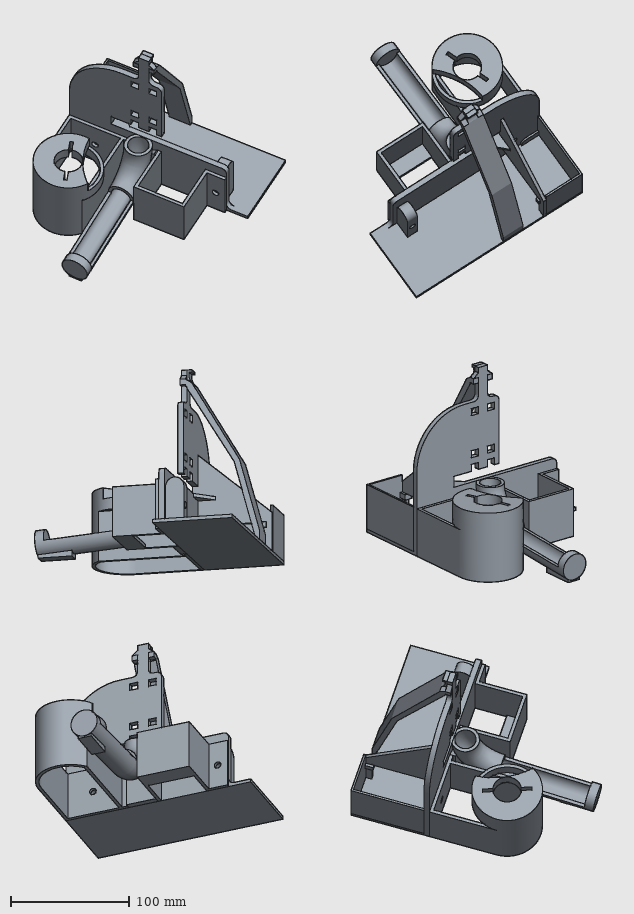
import cadquery as cq
import math


WIDTH = 170.0
LENGTH = 197.2
HEIGHT = 156.0
DEPTH = 69.5
FRONT = DEPTH - LENGTH
PLATE = 5.0
WALL = 3.0
CORNER_R = 5.0
BOX_H = 43.4
RAIL_Z = 53.2
RAIL_END = 149.6
AXIS_X = 70.8

PANEL_Z = 63.0
PANEL_TOP = 126.0
PANEL_RIGHT = 88.0
PANEL_R = 49.9
NECK_W = 9.9
SHOULDER_Z = 146.9
FLARE_TOP = 151.2
WINDOW_REACH = 12.2
WINDOW_H = 6.3
WINDOW_Z = (114.0, 75.5, PANEL_Z)
GUSSET_X = 36.9
GUSSET_TOP = 90.3
GUSSET_BACK_TOP = 36.5
GUSSET_BOTTOM = 28.2
LEG_Y = 62.5
SHELF = 15.2
SCREW_D = 6.0
SCREW_Z = 21.3
SCREW_X = 140.8
LUG_W = 10.0
LUG_D = 16.0
LUG_AXIS_Z = 37.0

TRAY_WALL = 1.8
LIP_H = 7.9
LIP_END = 19.3
LIP_R = 6.0
CLIP_H = 5.0
CLIP_WALL = 1.8
CLIP_SIDE = 2.4
CLIP_HOOK = 4.1

BIN_W = 53.0
CUP_D = 60.0
CUP_BORE = 54.0
CUP_Y = -59.5
CUP_TOP = 63.0
LID_HOLE = 24.0
LID_SLOT = 42.0
LID_SLOT_ANGLE = 110
LID_CUT = ((34.5, -30.2), (41.2, -54.6), (55.6, -73.7))
BIN_HOLE_X = 26.0
BOX_X = 84.8
BOX_W = 48.0
BOX_Y = -45.1
BOX_LEDGE = 14.0

BRACE_W = 20.1
BRACE_BEND_OUT = (52.2, 73.7)
BRACE_BEND_IN = (47.5, 72.0)
BRACE_FOOT_Z = 11.5
BRACE_FOOT_Y = 66.6
BRACE_TOP_OUT = (9.9, 144.1)
TAB_BOTTOM = 142.0
TAB_HEEL_Z = 140.8
LATCH_WAIST = 6.5
LATCH_LIP = 9.0
LATCH_LIP_Z = 153.8
LATCH_WAIST_Z = 151.0

TUBE_D = 24.0
TUBE_BORE = 18.0
TUBE_Y = -9.9
BEND_R = 34.1
FALL = 4.0
DISC_T = 7.9
MOUNT_W = 25.6
MOUNT_T = 5.1
MOUNT_V = 8.7
FOOT_W = 12.0
FOOT_BACK = -95.6
FOOT_FRONT = -125.4


def block(x0, x1, y0, y1, z0, z1):
    """Box between two opposite corners."""
    return cq.Workplane().box(x1 - x0, y1 - y0, z1 - z0, centered=False).translate((x0, y0, z0))


def side_profile(points, x, width):
    """Solid from a (y, z) outline, starting at x and growing towards +X."""
    return cq.Workplane("YZ", origin=(x, 0, 0)).polyline(points).close().extrude(width)


def screw_hole(x):
    """Cutter along Y through the plate and what is fixed to it."""
    reach = PLATE + LUG_D
    return cq.Workplane("XZ", origin=(x, reach, SCREW_Z)).circle(SCREW_D / 2).extrude(reach + 2 * WALL)


def make_panel():
    """Quarter-round panel with windows and the flared neck; its right edge is open below."""
    neck_left = AXIS_X - NECK_W / 2
    neck_right = AXIS_X + NECK_W / 2
    flare = BRACE_W / 2
    diag = math.sqrt(0.5)
    panel = (
        cq.Workplane("XZ", origin=(0, PLATE, 0))
        .moveTo(0, 0)
        .lineTo(0, PANEL_TOP - PANEL_R)
        .threePointArc((PANEL_R * (1 - diag), PANEL_TOP - PANEL_R * (1 - diag)), (PANEL_R, PANEL_TOP))
        .lineTo(neck_left - CORNER_R, PANEL_TOP)
        .radiusArc((neck_left, PANEL_TOP + CORNER_R), -CORNER_R)
        .lineTo(neck_left, SHOULDER_Z)
        .lineTo(AXIS_X - flare, SHOULDER_Z)
        .lineTo(neck_left, FLARE_TOP)
        .lineTo(neck_left, HEIGHT)
        .lineTo(neck_right, HEIGHT)
        .lineTo(neck_right, FLARE_TOP)
        .lineTo(AXIS_X + flare, SHOULDER_Z)
        .lineTo(neck_right, SHOULDER_Z)
        .lineTo(neck_right, PANEL_TOP + CORNER_R)
        .radiusArc((neck_right + CORNER_R, PANEL_TOP), -CORNER_R)
        .lineTo(PANEL_RIGHT - CORNER_R, PANEL_TOP)
        .radiusArc((PANEL_RIGHT, PANEL_TOP - CORNER_R), CORNER_R)
        .lineTo(PANEL_RIGHT, PANEL_Z)
        .lineTo(GUSSET_X + WALL, PANEL_Z)
        .lineTo(GUSSET_X + WALL, 0)
        .close()
        .extrude(PLATE)
    )
    for z in WINDOW_Z:
        for inner, outer in ((neck_left, AXIS_X - WINDOW_REACH), (neck_right, AXIS_X + WINDOW_REACH)):
            panel = panel.cut(block(min(inner, outer), max(inner, outer), 0, PLATE, z, z + WINDOW_H))
    return panel


def make_rail():
    """Low part of the upright plate, blended into the floor at its right end."""
    return (
        cq.Workplane("XZ", origin=(0, PLATE, 0))
        .lineTo(0, RAIL_Z)
        .lineTo(RAIL_END - CORNER_R, RAIL_Z)
        .radiusArc((RAIL_END, RAIL_Z - CORNER_R), CORNER_R)
        .lineTo(RAIL_END, WALL + CORNER_R)
        .radiusArc((RAIL_END + CORNER_R, WALL), -CORNER_R)
        .lineTo(RAIL_END + CORNER_R, 0)
        .close()
        .extrude(PLATE)
    )


def make_gusset():
    """Sloped side web standing on a rear leg, with a triangular shelf beside the slot."""
    web = side_profile(
        [
            (PLATE, GUSSET_BOTTOM),
            (PLATE, GUSSET_TOP),
            (DEPTH, GUSSET_BACK_TOP),
            (DEPTH, WALL),
            (LEG_Y, WALL),
            (LEG_Y, GUSSET_BOTTOM),
        ],
        GUSSET_X,
        WALL,
    )
    right = GUSSET_X + WALL
    shelf = (
        cq.Workplane(origin=(0, 0, RAIL_Z - WALL))
        .polyline([(right, PLATE), (right + SHELF, PLATE), (right, PLATE + SHELF)])
        .close()
        .extrude(WALL)
    )
    return web.union(shelf)


def make_lug():
    """Round-topped lug behind the screw hole."""
    x0 = SCREW_X - LUG_W / 2
    post = block(x0, x0 + LUG_W, PLATE, PLATE + LUG_D, WALL, LUG_AXIS_Z)
    top = cq.Workplane("YZ", origin=(x0, PLATE + LUG_D / 2, LUG_AXIS_Z)).circle(LUG_D / 2).extrude(LUG_W)
    return post.union(top)


def make_base():
    """Floor and upright plate with everything that stands on them."""
    base = block(0, WIDTH, 0, DEPTH, 0, WALL)
    for piece in (make_rail(), make_panel(), make_gusset(), make_lug()):
        base = base.union(piece)
    return base.cut(screw_hole(SCREW_X)).cut(screw_hole(BIN_HOLE_X))


def make_tray():
    """Side and back wall on the floor, with a low front lip and a clip around the gusset leg."""
    inner_back = DEPTH - TRAY_WALL
    side = block(0, TRAY_WALL, PLATE, DEPTH, WALL, BOX_H)
    back = block(0, GUSSET_X, inner_back, DEPTH, WALL, BOX_H)
    lip = block(0, LIP_END, PLATE, PLATE + TRAY_WALL, WALL, WALL + LIP_H)
    lip = lip.edges("|Y and >X and >Z").fillet(LIP_R)

    leg_right = GUSSET_X + WALL
    clip_left = GUSSET_X - CLIP_SIDE
    clip_right = leg_right + CLIP_WALL
    clip_front = LEG_Y - CLIP_WALL
    z1 = GUSSET_BOTTOM
    z0 = z1 - CLIP_H
    clip = block(clip_left, GUSSET_X, clip_front, inner_back, z0, z1)
    clip = clip.union(block(clip_left, clip_right, clip_front, LEG_Y, z0, z1))
    clip = clip.union(block(leg_right, clip_right, clip_front, clip_front + CLIP_HOOK, z0, z1))
    return side.union(back).union(lip).union(clip)


def make_cup_bin():
    """Left bin with the lidded cup at its front."""
    radius = CUP_D / 2

    def disc(diameter, z0, z1):
        return cq.Workplane(origin=(radius, CUP_Y, z0)).circle(diameter / 2).extrude(z1 - z0)

    overhang = block(BIN_W, CUP_D, CUP_Y - radius, CUP_Y + radius, 0, BOX_H)
    cup = disc(CUP_D, 0, CUP_TOP).cut(disc(CUP_BORE, 0, RAIL_Z)).cut(overhang)

    start, middle, end = LID_CUT
    opening = (
        cq.Workplane(origin=(0, 0, RAIL_Z))
        .moveTo(*start)
        .threePointArc(middle, end)
        .lineTo(CUP_D, end[1])
        .lineTo(CUP_D, start[1] + WALL)
        .lineTo(start[0], start[1] + WALL)
        .close()
        .extrude(CUP_TOP - RAIL_Z)
    )
    slot = (
        cq.Workplane(origin=(radius, CUP_Y, RAIL_Z))
        .transformed(rotate=(0, 0, LID_SLOT_ANGLE))
        .rect(LID_SLOT, WALL)
        .extrude(CUP_TOP - RAIL_Z)
    )
    passage = block(WALL, BIN_W - WALL, CUP_Y, -WALL, 0, BOX_H)
    cup = cup.cut(passage).cut(opening).cut(slot).cut(disc(LID_HOLE, RAIL_Z, CUP_TOP))

    flange = block(0, AXIS_X - MOUNT_W / 2, -WALL, 0, 0, BOX_H)
    left = block(0, WALL, CUP_Y, 0, 0, BOX_H).cut(disc(CUP_BORE, 0, BOX_H))
    right_chord = math.sqrt(radius**2 - (BIN_W - radius) ** 2)
    right = block(BIN_W - WALL, BIN_W, CUP_Y - right_chord, 0, 0, BOX_H)
    return cup.union(flange).union(left).union(right).cut(screw_hole(BIN_HOLE_X))


def make_box():
    """Right box, open to the plate, with a ledge along its front and a screw flange."""
    right = BOX_X + BOX_W
    box = block(BOX_X, right, BOX_Y, 0, 0, BOX_H)
    box = box.cut(block(BOX_X + WALL, right - WALL, BOX_Y + WALL, 0, 0, BOX_H))
    box = box.union(block(BOX_X + WALL, right - WALL, BOX_Y + WALL, BOX_Y + WALL + BOX_LEDGE, 0, WALL))
    box = box.union(block(right, RAIL_END, -WALL, 0, 0, BOX_H))
    return box.cut(screw_hole(SCREW_X))


def make_brace():
    """Bent strut whose two tabs pass beside the neck, with a latch finger behind the head."""
    x0 = AXIS_X - BRACE_W / 2
    strut = side_profile(
        [
            (DEPTH, WALL),
            (DEPTH, BRACE_FOOT_Z),
            BRACE_BEND_OUT,
            BRACE_TOP_OUT,
            (PLATE, SHOULDER_Z),
            (0, SHOULDER_Z),
            (0, TAB_BOTTOM),
            (PLATE, TAB_BOTTOM),
            (PLATE, TAB_HEEL_Z),
            BRACE_BEND_IN,
            (BRACE_FOOT_Y, WALL),
        ],
        x0,
        BRACE_W,
    )
    neck_left = AXIS_X - NECK_W / 2
    strut = strut.cut(block(neck_left, neck_left + NECK_W, 0, PLATE, TAB_BOTTOM, SHOULDER_Z))
    latch = (
        cq.Workplane("YZ", origin=(neck_left, 0, 0))
        .moveTo(PLATE, TAB_BOTTOM)
        .lineTo(*BRACE_TOP_OUT)
        .threePointArc((LATCH_WAIST, LATCH_WAIST_Z), (LATCH_WAIST + 0.2, LATCH_LIP_Z))
        .lineTo(LATCH_LIP, LATCH_LIP_Z)
        .lineTo(LATCH_LIP, HEIGHT)
        .lineTo(PLATE, HEIGHT)
        .close()
        .extrude(NECK_W)
    )
    return strut.union(latch)


def make_chute():
    """Tube that bends from the mouth into an open channel closed by a disc."""
    fall = math.radians(FALL)
    turn = math.pi / 2 - fall
    ahead = (-math.cos(fall), -math.sin(fall))

    def on_bend(angle):
        return (TUBE_Y - BEND_R * (1 - math.cos(angle)), RAIL_Z - BEND_R * math.sin(angle))

    bend_end = on_bend(turn)
    tip_y = FRONT + TUBE_D / 2 * math.sin(fall)
    run = (bend_end[0] - tip_y) / math.cos(fall)

    path = cq.Workplane("YZ", origin=(AXIS_X, 0, 0)).moveTo(TUBE_Y, RAIL_Z)
    path = path.threePointArc(on_bend(turn / 2), bend_end)
    mouth = cq.Workplane(origin=(AXIS_X, TUBE_Y, RAIL_Z))
    channel = cq.Plane(origin=(AXIS_X, *bend_end), xDir=(1, 0, 0), normal=(0, *ahead))
    elbow = mouth.circle(TUBE_D / 2).sweep(path)
    elbow_bore = mouth.circle(TUBE_BORE / 2).sweep(path)
    channel_bore = cq.Workplane(channel).circle(TUBE_BORE / 2).extrude(run - DISC_T)
    rod = cq.Workplane(channel).circle(TUBE_D / 2).extrude(run)
    open_half = cq.Workplane(channel).center(0, TUBE_D / 2).rect(TUBE_D, TUBE_D).extrude(run - DISC_T)

    half = MOUNT_W / 2
    to_box = BOX_X - AXIS_X
    mount = (
        cq.Workplane("XZ", origin=(AXIS_X, 0, 0))
        .polyline([(-half, 0), (-half, BOX_H), (0, BOX_H - MOUNT_V), (half, BOX_H), (to_box, BOX_H), (to_box, 0)])
        .close()
        .extrude(MOUNT_T)
    )
    foot_z = bend_end[1] + (FOOT_FRONT - bend_end[0]) * math.tan(fall)
    foot = block(AXIS_X - FOOT_W / 2, AXIS_X + FOOT_W / 2, FOOT_FRONT, FOOT_BACK, 0, foot_z)

    chute = rod.cut(open_half).union(foot).union(elbow).union(mount)
    behind_plate = block(AXIS_X - TUBE_D, AXIS_X + TUBE_D, 0, TUBE_D, 0, RAIL_Z)
    return chute.cut(channel_bore).cut(elbow_bore).cut(behind_plate)


base = make_base()
tray = make_tray()
cup_bin = make_cup_bin()
box = make_box()
brace = make_brace()
chute = make_chute()

result = cq.Compound.makeCompound(
    [base.val(), tray.val(), cup_bin.val(), box.val(), brace.val(), chute.val()]
)